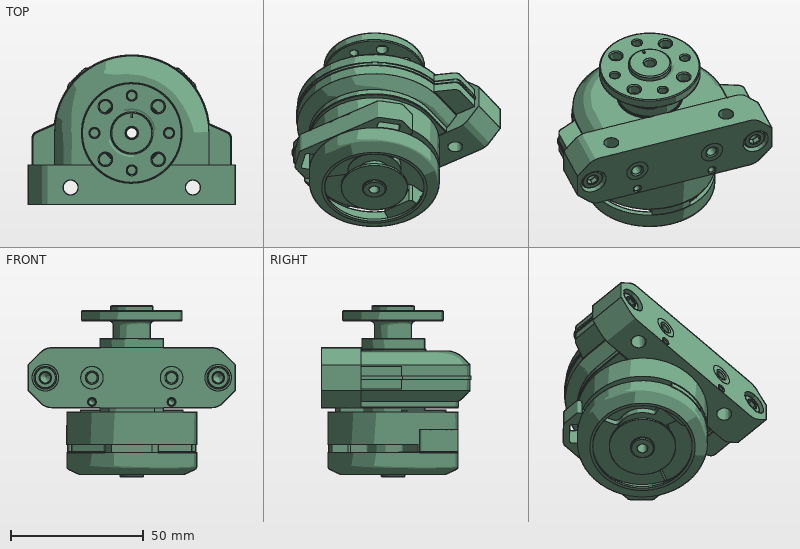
import cadquery as cq
import math


BLOCK_LENGTH = 78.0
BLOCK_HEIGHT = 22.6
BLOCK_FRONT = -27.0
BLOCK_BACK = -12.0
BLOCK_BOTTOM = 26.1
BLOCK_CHAMFER = 6.5
BLOCK_ROUNDING = 6.0
BLOCK_TOP = BLOCK_BOTTOM + BLOCK_HEIGHT
MID_HEIGHT = BLOCK_BOTTOM + BLOCK_HEIGHT / 2

CROSS_HOLE_DIAMETER = 5.5
CROSS_HOLE_X = 23.0
CROSS_HOLE_Y = -20.5

SCREW_X = 32.5
SCREW_HEAD_DIAMETER = 8.5
SCREW_HEAD_HEIGHT = 5.0
SCREW_HEAD_CHAMFER = 0.5
SCREW_SHANK_DIAMETER = 5.0
SCREW_SHANK_LENGTH = 7.0
SCREW_SOCKET_FLATS = 4.0
SCREW_SOCKET_RIM = 4.7
SCREW_SOCKET_DEPTH = 2.5
SCREW_SINK = 1.0
COUNTERBORE_DIAMETER = 10.0

INSERT_X = 15.0
INSERT_DIAMETER = 8.5
INSERT_LENGTH = 10.0
INSERT_BORE = 4.0
INSERT_BORE_RIM = 5.0
INSERT_BORE_DEPTH = 7.0

PILOT_DIAMETER = 2.5
PILOT_RIM = 3.3
PILOT_DEPTH = 3.9
PILOT_Z = 28.3
DRILL_TIP_ANGLE = 118.0

HOUSING_RADIUS = 29.0
HOUSING_TOP = 47.6
SHOULDER_HALF_HEIGHT = 4.8
CROWN_RADIUS = 20.05
CROWN_ROUNDING = 9.0
FOOT_RADIUS = 24.65
FOOT_TOP = 28.85
FOOT_CHAMFER = 0.2
SEAM_HEIGHT = 1.4
SEAM_OVERHANG = 0.4

EAR_X = 37.1
EAR_HEIGHT = 8.5
EAR_CORNER_Y = -0.5
EAR_ROUNDING = 2.5
EAR_SLOPE = 24.0

COLLAR_RADIUS = 12.0
COLLAR_TOP = 52.25
COLLAR_FLAT_Y = -11.7
COLLAR_EDGE = 0.2
BOSS_RADIUS = 12.4
BOSS_HEIGHT = 0.7
SHAFT_RADIUS = 14.0 / 2
SHAFT_FILLET = 1.55
FLANGE_RADIUS = 37.9 / 2
FLANGE_BOTTOM = 58.7
FLANGE_TOP = 62.8
FLANGE_CHAMFER = 0.4
HUB_RADIUS = 16.0 / 2
HUB_TOP = 64.7
HUB_CHAMFER = 0.5
GROOVE_RADIUS = 17.0 / 2
GROOVE_RIM_RADIUS = 18.25 / 2
GROOVE_DEPTH = 0.15
MARK_WIDTH = 0.7
MARK_LENGTH = 2.1
MARK_DEPTH = 0.3

BORE_DIAMETER = 4.0
BORE_RIM = 5.0
HOLE_CIRCLE_RADIUS = 14.05
LARGE_HOLE_DIAMETER = 4.5
LARGE_HOLE_RIM = 5.45
SMALL_HOLE_DIAMETER = 3.3
SMALL_HOLE_RIM = 4.1

MOTOR_RADIUS = 49.0 / 2
MOTOR_TOP = 24.5
MOTOR_BOTTOM = 12.25
CAP_TOP = 9.3
CAP_BOTTOM = 1.0
CAP_INNER_RADIUS = 45.3 / 2
CAP_BASE_RADIUS = 19.8
CAP_OPENING_RADIUS = 18.7
CAP_LIP = 1.0
CAP_CORNER_BOTTOM = 2.9
CAP_CORNER_TOP = 4.2
CAP_CORNER_RADIUS = 23.9
CAP_CORNER_MID_RADIUS = 24.3
CAP_CORNER_MID_Z = 3.4
HUB_PLATE_RADIUS = 12.5
HUB_PLATE_TOP = 1.95
SPINDLE_RADIUS = 12.0 / 2
NOSE_RADIUS = 9.0 / 2
NOSE_CHAMFER = 0.4
CORE_RADIUS = 20.0 / 2
YOKE_FILLET = 2.0
PILLAR_FILLET = 1.0
PILLAR_RADIUS = 24.25
PILLAR_HALF_ANGLE = 18.2
PILLAR_WEB_FRONT_HALF_WIDTH = 7.0
PILLAR_WEB_BACK_HALF_WIDTH = 6.2
PILLAR_WEB_FRONT = -21.45
PILLAR_WEB_BACK = -17.0
PILLAR_WEB_TAPER_BACK = -16.0
YOKE_BOTTOM = 9.5
YOKE_START_ANGLE = 22.5
NECK_ARM_RADIUS = 21.8
NECK_ARM_HALF_ANGLE = 23.2
NECK_FILLET = 0.8
TOP_PLATE_RADIUS = 20.0
TOP_PLATE_START_ANGLE = 15.0
TOP_PLATE_HEIGHT = 0.7

BOX_HALF_WIDTH = 24.1
BOX_FRONT = 9.9
BOX_CHAMFER = 6.5
BOX_END_ROUNDING = 1.25
BOX_CORNER_ROUNDING = 2.0
BOX_TOP = 17.95
POCKET_LENGTH = 8.5
POCKET_OUTER = 27.4
POCKET_ROUNDING = 0.9

FRONT_ANGLE = 270.0
BACK_ANGLE = 90.0


def cylinder(radius, bottom, top):
    """Upright cylinder on the drive axis."""
    return cq.Workplane("XY").workplane(offset=bottom).circle(radius).extrude(top - bottom)


def sector(radius, middle_angle, half_angle, bottom, top):
    """Upright pie slice around the drive axis, with half_angle of at most 90 degrees."""

    def on_arc(angle):
        return (radius * math.cos(math.radians(angle)), radius * math.sin(math.radians(angle)))

    return (
        cq.Workplane("XY")
        .workplane(offset=bottom)
        .lineTo(*on_arc(middle_angle - half_angle))
        .threePointArc(on_arc(middle_angle), on_arc(middle_angle + half_angle))
        .close()
        .extrude(top - bottom)
    )


def revolve_on_drive_axis(profile):
    """Turn an XZ profile once around the drive axis."""
    return profile.revolve(360, (0, 0, 0), (0, 1, 0))


def turned_from_front(profile, x, z):
    """Turn a profile of (radius, depth) around a line along Y that starts on the block's front face."""
    turned = profile.revolve(360, (0, 0, 0), (0, 1, 0))
    return turned.translate((x, BLOCK_FRONT, z))


def chamfered_hole(diameter, rim, top, depth):
    """Upright hole tool with a 45 degree chamfer at its top."""
    chamfer = (rim - diameter) / 2
    return cylinder(diameter / 2, top - depth, top).union(
        cq.Workplane("XY")
        .workplane(offset=top - chamfer)
        .circle(diameter / 2)
        .workplane(offset=chamfer)
        .circle(rim / 2)
        .loft(combine=True)
    )


def drilled_profile(diameter, rim, depth):
    """Half outline of a chamfered blind hole with a pointed drill tip, drawn as (radius, depth)."""
    chamfer = (rim - diameter) / 2
    tip = diameter / 2 / math.tan(math.radians(DRILL_TIP_ANGLE / 2))
    return (
        cq.Workplane("XY")
        .lineTo(rim / 2, 0)
        .lineTo(diameter / 2, chamfer)
        .lineTo(diameter / 2, depth)
        .lineTo(0, depth + tip)
        .close()
    )


def screw_envelope():
    head_end = SCREW_SINK + SCREW_HEAD_HEIGHT
    head_radius = SCREW_HEAD_DIAMETER / 2
    return (
        cq.Workplane("XY")
        .moveTo(0, SCREW_SINK)
        .lineTo(head_radius - SCREW_HEAD_CHAMFER, SCREW_SINK)
        .lineTo(head_radius, SCREW_SINK + SCREW_HEAD_CHAMFER)
        .lineTo(head_radius, head_end)
        .lineTo(SCREW_SHANK_DIAMETER / 2, head_end)
        .lineTo(SCREW_SHANK_DIAMETER / 2, head_end + SCREW_SHANK_LENGTH)
        .lineTo(0, head_end + SCREW_SHANK_LENGTH)
        .close()
    )


def screw_socket():
    """Hexagonal socket with a chamfered rim and a pointed bottom, starting at the block's front face."""
    corner_diameter = SCREW_SOCKET_FLATS / math.cos(math.radians(30))
    hexagon = (
        cq.Workplane("XZ")
        .transformed(rotate=(0, 0, 90))
        .polygon(6, corner_diameter)
        .extrude(-SCREW_SOCKET_DEPTH)
        .translate((0, BLOCK_FRONT, MID_HEIGHT))
    )
    drilled = drilled_profile(SCREW_SOCKET_FLATS, SCREW_SOCKET_RIM, SCREW_SOCKET_DEPTH)
    return hexagon.union(turned_from_front(drilled, 0, MID_HEIGHT))


def make_screw(x):
    screw = turned_from_front(screw_envelope(), x, MID_HEIGHT)
    return screw.cut(screw_socket().translate((x, SCREW_SINK, 0)))


def screw_seat(x):
    """Counterbore and shank hole that take a screw."""
    depth = SCREW_SINK + SCREW_HEAD_HEIGHT
    counterbore = cq.Workplane("XY").rect(COUNTERBORE_DIAMETER / 2, depth, centered=False)
    seat = turned_from_front(screw_envelope(), x, MID_HEIGHT)
    return seat.union(turned_from_front(counterbore, x, MID_HEIGHT))


def insert_envelope(x):
    outline = cq.Workplane("XY").rect(INSERT_DIAMETER / 2, INSERT_LENGTH, centered=False)
    return turned_from_front(outline, x, MID_HEIGHT)


def make_insert(x):
    chamfer = (INSERT_BORE_RIM - INSERT_BORE) / 2
    bore = (
        cq.Workplane("XY")
        .lineTo(INSERT_BORE_RIM / 2, 0)
        .lineTo(INSERT_BORE / 2, chamfer)
        .lineTo(INSERT_BORE / 2, INSERT_BORE_DEPTH)
        .lineTo(0, INSERT_BORE_DEPTH)
        .close()
    )
    return insert_envelope(x).cut(turned_from_front(bore, x, MID_HEIGHT))


def mounting_block():
    block = (
        cq.Workplane("XZ", origin=(0, BLOCK_BACK, MID_HEIGHT))
        .rect(BLOCK_LENGTH, BLOCK_HEIGHT)
        .extrude(BLOCK_BACK - BLOCK_FRONT)
        .edges("|Y")
        .chamfer(BLOCK_CHAMFER)
    )
    bends = block.faces(">Z or <Z").edges("|Y")
    return bends.fillet(BLOCK_ROUNDING)


def housing_half_profile():
    """Right half of the housing's cross-section: chamfered sides with a rounded crown and base."""
    shoulder = HOUSING_TOP - MID_HEIGHT
    arc_centre = shoulder - CROWN_ROUNDING
    half_bend = math.radians(22.5)
    bend_x = CROWN_RADIUS + CROWN_ROUNDING * math.sin(2 * half_bend)
    bend_z = arc_centre + CROWN_ROUNDING * math.cos(2 * half_bend)
    mid_x = CROWN_RADIUS + CROWN_ROUNDING * math.sin(half_bend)
    mid_z = arc_centre + CROWN_ROUNDING * math.cos(half_bend)
    return (
        cq.Workplane("XZ", origin=(0, 0, MID_HEIGHT))
        .moveTo(0, -shoulder)
        .lineTo(CROWN_RADIUS, -shoulder)
        .threePointArc((mid_x, -mid_z), (bend_x, -bend_z))
        .lineTo(HOUSING_RADIUS, -SHOULDER_HALF_HEIGHT)
        .lineTo(HOUSING_RADIUS, SHOULDER_HALF_HEIGHT)
        .lineTo(bend_x, bend_z)
        .threePointArc((mid_x, mid_z), (CROWN_RADIUS, shoulder))
        .lineTo(0, shoulder)
        .close()
    )


def arched_slab(radius, bottom, top):
    """Slab that is round at the back and runs straight forward to the block."""
    return (
        cq.Workplane("XY", origin=(0, 0, bottom))
        .moveTo(-radius, BLOCK_BACK)
        .lineTo(-radius, 0)
        .threePointArc((0, radius), (radius, 0))
        .lineTo(radius, BLOCK_BACK)
        .close()
        .extrude(top - bottom)
    )


def ears(side_offset, height):
    """Pair of ears beside the housing, grown outward by side_offset."""
    slope = math.tan(math.radians(EAR_SLOPE))
    side = EAR_X + side_offset
    corner_y = EAR_CORNER_Y + side_offset * (1 / math.cos(math.radians(EAR_SLOPE)) - slope)
    root_x = CROWN_RADIUS
    root_y = corner_y + (side - root_x) * slope
    right_ear = (
        cq.Workplane("XY", origin=(0, 0, MID_HEIGHT - height / 2))
        .moveTo(root_x, BLOCK_BACK)
        .lineTo(side, BLOCK_BACK)
        .lineTo(side, corner_y)
        .lineTo(root_x, root_y)
        .close()
        .extrude(height)
        .edges(cq.selectors.NearestToPointSelector((side, corner_y, MID_HEIGHT)))
        .fillet(EAR_ROUNDING)
    )
    return right_ear.union(right_ear.mirror("YZ"))


def gear_housing():
    back = revolve_on_drive_axis(housing_half_profile())
    half = housing_half_profile().extrude(-BLOCK_BACK)
    foot = arched_slab(FOOT_RADIUS, BLOCK_BOTTOM, FOOT_TOP).faces("<Z").chamfer(FOOT_CHAMFER)
    seam_bottom = MID_HEIGHT - SEAM_HEIGHT / 2
    seam = arched_slab(HOUSING_RADIUS + SEAM_OVERHANG, seam_bottom, seam_bottom + SEAM_HEIGHT)
    rear_side = cq.Workplane("XY").box(
        2 * HOUSING_RADIUS, HOUSING_RADIUS, HOUSING_TOP, centered=(True, False, False)
    )
    return (
        back.intersect(rear_side)
        .union(half)
        .union(half.mirror("YZ"))
        .union(foot)
        .union(seam)
        .union(ears(0, EAR_HEIGHT))
        .union(ears(SEAM_OVERHANG, SEAM_HEIGHT))
    )


def collar():
    """Collar with a flat at the front, standing on a low boss."""
    boss = cylinder(BOSS_RADIUS, HOUSING_TOP, HOUSING_TOP + BOSS_HEIGHT).faces(">Z").chamfer(COLLAR_EDGE)
    ring = cylinder(COLLAR_RADIUS, HOUSING_TOP, COLLAR_TOP).faces(">Z").chamfer(COLLAR_EDGE)
    behind_flat = cq.Workplane("XY").box(
        4 * COLLAR_RADIUS, 4 * COLLAR_RADIUS, COLLAR_TOP, centered=(True, False, False)
    )
    return boss.union(ring).intersect(behind_flat.translate((0, COLLAR_FLAT_Y, 0)))


def output_flange():
    fillet_mid = SHAFT_FILLET * (1 - math.sqrt(0.5))
    profile = (
        cq.Workplane("XZ")
        .moveTo(0, COLLAR_TOP)
        .lineTo(SHAFT_RADIUS, COLLAR_TOP)
        .lineTo(SHAFT_RADIUS, FLANGE_BOTTOM - SHAFT_FILLET)
        .threePointArc(
            (SHAFT_RADIUS + fillet_mid, FLANGE_BOTTOM - fillet_mid),
            (SHAFT_RADIUS + SHAFT_FILLET, FLANGE_BOTTOM),
        )
        .lineTo(FLANGE_RADIUS - FLANGE_CHAMFER, FLANGE_BOTTOM)
        .lineTo(FLANGE_RADIUS, FLANGE_BOTTOM + FLANGE_CHAMFER)
        .lineTo(FLANGE_RADIUS, FLANGE_TOP - FLANGE_CHAMFER)
        .lineTo(FLANGE_RADIUS - FLANGE_CHAMFER, FLANGE_TOP)
        .lineTo(GROOVE_RIM_RADIUS, FLANGE_TOP)
        .lineTo(GROOVE_RADIUS, FLANGE_TOP - GROOVE_DEPTH)
        .lineTo(HUB_RADIUS, FLANGE_TOP - GROOVE_DEPTH)
        .lineTo(HUB_RADIUS, HUB_TOP - HUB_CHAMFER)
        .lineTo(HUB_RADIUS - HUB_CHAMFER, HUB_TOP)
        .lineTo(0, HUB_TOP)
        .close()
    )
    return revolve_on_drive_axis(profile)


def flange_holes():
    """Ring of eight holes, alternately small and large."""
    thickness = FLANGE_TOP - FLANGE_BOTTOM
    small = chamfered_hole(SMALL_HOLE_DIAMETER, SMALL_HOLE_RIM, FLANGE_TOP, thickness)
    large = chamfered_hole(LARGE_HOLE_DIAMETER, LARGE_HOLE_RIM, FLANGE_TOP, thickness)
    holes = cq.Workplane("XY")
    for quarter in range(4):
        for hole, angle in ((small, 90 * quarter), (large, 90 * quarter + 45)):
            moved = hole.translate((HOLE_CIRCLE_RADIUS, 0, 0)).rotate((0, 0, 0), (0, 0, 1), angle)
            holes = holes.union(moved)
    return holes


def hub_mark():
    """Short slot in the hub's top that marks the zero position."""
    slot = cq.Workplane("XY").box(MARK_WIDTH, MARK_LENGTH, MARK_DEPTH, centered=(True, False, False))
    return slot.translate((0, HUB_RADIUS - MARK_LENGTH, HUB_TOP - MARK_DEPTH))


def core_with_arm(core_radius, arm_radius, middle_angle, half_angle, bottom, top, fillet):
    """Round core with one radial arm, rounded in the two inner corners where they join."""
    core = cylinder(core_radius, bottom, top)
    arm = core.union(sector(arm_radius, middle_angle, half_angle, bottom, top))
    for side in (-1, 1):
        angle = math.radians(middle_angle + side * half_angle)
        corner = (core_radius * math.cos(angle), core_radius * math.sin(angle), (bottom + top) / 2)
        arm = arm.edges(cq.selectors.NearestToPointSelector(corner)).fillet(fillet)
    return arm


def motor_neck():
    """Neck between motor and housing: a round core with an arm to the front, and a thin back plate."""
    neck = core_with_arm(
        COLLAR_RADIUS,
        NECK_ARM_RADIUS,
        FRONT_ANGLE,
        NECK_ARM_HALF_ANGLE,
        MOTOR_TOP,
        BLOCK_BOTTOM,
        NECK_FILLET,
    )
    plate = sector(
        TOP_PLATE_RADIUS, BACK_ANGLE, 90 - TOP_PLATE_START_ANGLE, MOTOR_TOP, MOTOR_TOP + TOP_PLATE_HEIGHT
    )
    return neck.union(plate)


def motor_supports():
    """Core, back yoke and front pillar in the slot between the motor's drum and its cap."""
    yoke = core_with_arm(
        CORE_RADIUS,
        MOTOR_RADIUS,
        BACK_ANGLE,
        90 - YOKE_START_ANGLE,
        YOKE_BOTTOM,
        MOTOR_BOTTOM,
        YOKE_FILLET,
    )
    pillar = core_with_arm(
        CORE_RADIUS,
        PILLAR_RADIUS,
        FRONT_ANGLE,
        PILLAR_HALF_ANGLE,
        CAP_TOP,
        MOTOR_BOTTOM,
        PILLAR_FILLET,
    )
    taper_half_width = -PILLAR_WEB_TAPER_BACK * math.tan(math.radians(PILLAR_HALF_ANGLE))
    web = (
        cq.Workplane("XY", origin=(0, 0, CAP_CORNER_TOP))
        .moveTo(taper_half_width, PILLAR_WEB_TAPER_BACK)
        .lineTo(PILLAR_WEB_BACK_HALF_WIDTH, PILLAR_WEB_BACK)
        .lineTo(PILLAR_WEB_FRONT_HALF_WIDTH, PILLAR_WEB_FRONT)
        .lineTo(-PILLAR_WEB_FRONT_HALF_WIDTH, PILLAR_WEB_FRONT)
        .lineTo(-PILLAR_WEB_BACK_HALF_WIDTH, PILLAR_WEB_BACK)
        .lineTo(-taper_half_width, PILLAR_WEB_TAPER_BACK)
        .close()
        .extrude(MOTOR_BOTTOM - CAP_CORNER_TOP)
    )
    return yoke.union(pillar).union(web)


def motor_cap():
    """Open cup with a rounded and tapered lower edge."""
    floor_top = CAP_BOTTOM + CAP_LIP
    profile = (
        cq.Workplane("XZ")
        .moveTo(CAP_OPENING_RADIUS, CAP_BOTTOM)
        .lineTo(CAP_BASE_RADIUS, CAP_BOTTOM)
        .lineTo(CAP_CORNER_RADIUS, CAP_CORNER_BOTTOM)
        .threePointArc((CAP_CORNER_MID_RADIUS, CAP_CORNER_MID_Z), (MOTOR_RADIUS, CAP_CORNER_TOP))
        .lineTo(MOTOR_RADIUS, CAP_TOP)
        .lineTo(CAP_INNER_RADIUS, CAP_TOP)
        .lineTo(CAP_INNER_RADIUS, CAP_CORNER_TOP)
        .lineTo(CAP_OPENING_RADIUS, floor_top)
        .close()
    )
    return revolve_on_drive_axis(profile)


def motor_spindle():
    """Spindle below the core, with a plate in the cap's opening and a nose at the bottom."""
    spindle = cylinder(SPINDLE_RADIUS, CAP_BOTTOM, CAP_TOP)
    plate = cylinder(HUB_PLATE_RADIUS, CAP_BOTTOM, HUB_PLATE_TOP)
    nose = cylinder(NOSE_RADIUS, 0, CAP_BOTTOM).faces("<Z").chamfer(NOSE_CHAMFER)
    return spindle.union(plate).union(nose)


def connector_box():
    """Box around the back of the motor with chamfered corners and an open pocket in each corner."""
    box = (
        cq.Workplane("XY")
        .box(
            2 * BOX_HALF_WIDTH, MOTOR_RADIUS - BOX_FRONT, BOX_TOP - YOKE_BOTTOM, centered=(True, False, False)
        )
        .translate((0, BOX_FRONT, YOKE_BOTTOM))
        .edges("|Z and >Y")
        .chamfer(BOX_CHAMFER)
        .edges("|Z and <Y")
        .fillet(BOX_END_ROUNDING)
    )
    sloped_sides = cq.selectors.BoxSelector(
        (-2 * BOX_HALF_WIDTH, (BOX_FRONT + MOTOR_RADIUS) / 2, 0),
        (2 * BOX_HALF_WIDTH, 2 * MOTOR_RADIUS, 2 * BOX_TOP),
    )
    box = box.edges("|Z").edges(sloped_sides).fillet(BOX_CORNER_ROUNDING)
    for angle in (45, 135):
        pocket = cq.Workplane("XY").box(
            POCKET_OUTER, POCKET_LENGTH, BOX_TOP, centered=(False, True, False)
        ).edges("|Z and >X").fillet(POCKET_ROUNDING)
        box = box.cut(pocket.translate((0, 0, YOKE_BOTTOM)).rotate((0, 0, 0), (0, 0, 1), angle))
    return box


def make_drive_unit():
    unit = mounting_block().union(gear_housing()).union(collar()).union(output_flange())
    unit = unit.cut(flange_holes()).cut(hub_mark())
    unit = unit.union(motor_neck()).union(connector_box())
    unit = unit.union(cylinder(MOTOR_RADIUS, MOTOR_BOTTOM, MOTOR_TOP))
    unit = unit.union(motor_supports()).union(motor_cap()).union(motor_spindle())
    unit = unit.cut(chamfered_hole(BORE_DIAMETER, BORE_RIM, HUB_TOP, HUB_TOP))
    for side in (-1, 1):
        cross_hole = cylinder(CROSS_HOLE_DIAMETER / 2, BLOCK_BOTTOM, BLOCK_TOP)
        unit = unit.cut(cross_hole.translate((side * CROSS_HOLE_X, CROSS_HOLE_Y, 0)))
        pilot = drilled_profile(PILOT_DIAMETER, PILOT_RIM, PILOT_DEPTH)
        unit = unit.cut(turned_from_front(pilot, side * INSERT_X, PILOT_Z))
        unit = unit.cut(screw_seat(side * SCREW_X))
        unit = unit.cut(insert_envelope(side * INSERT_X))
    return unit


drive_unit = make_drive_unit()
screws = [make_screw(side * SCREW_X) for side in (-1, 1)]
inserts = [make_insert(side * INSERT_X) for side in (-1, 1)]

result = cq.Compound.makeCompound(
    [drive_unit.val()] + [body.val() for body in screws + inserts]
)